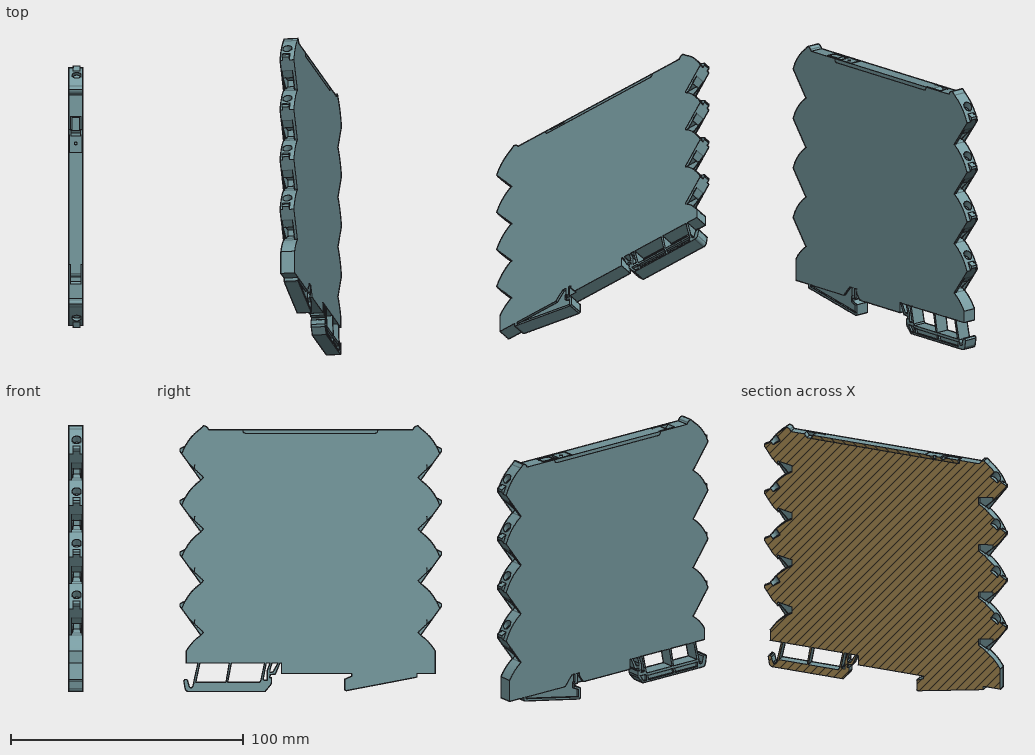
import cadquery as cq
import math


thickness = 6.1
left_face = -thickness / 2
total_width = 112.52
total_height = 114.32

top_z = 112.65
base_z = 7.8
rail_z = 12.3
rail_step_y = -12.65
base_half = 53.6

tiers = 4
tier_pitch = 22.2
notch_y = 47.3
notch_z = 90.9
tip_y = 55.45
tip_rise = 11.35
front_radius = 22.4
crest_y = 46.1
crest_foot_y = 47.5
lip_inner_y = 43.8
lip_wall_y = 44.3
lip_wall_z = 113.4

terminal_x = 0.4
screw_hole_d = 3.9
screw_hole_rise = 17.4
screw_hole_depth = 2.7
nose_width = 3.0
nose_y = total_width / 2
nose_rise = 13.5
nose_root_y = 53.4
nose_root_rise = 15.0
entry_width = 4.5
entry_top_rise = 7.4
entry_ledge = 1.2
entry_mouth_y = 50.0
entry_mouth_rise = 6.6
entry_mouth_drop = 1.3
entry_inner_y = 43.5
entry_inner_size = 2.8
entry_inner_rise = 4.1

foot_top_z = 4.1
foot_corner_round = 1.6
overlap_z = 12.8
rib_root_z = 3.9
foot_corner_y = -53.8
foot_recess_low_z = 0.8
foot_recess_high_z = 2.9
spring_foot_z = 4.8

cover_start_y = 28.8
cover_end_y = -29.2
cover_depth = 1.6
cover_bottom_z = top_z - cover_depth
cover_tip_round = 1.57
cover_round = 1.2
tongue_width = 3.3
tongue_y = 34.0
tongue_slot_width = 4.5
tongue_slot_y = 34.4
nose_strip_width = 4.5
nose_strip_y = -34.5
nose_slot_y = -37.6
nose_slot_slope = 1.2
grip_width = 3.9
grip_start_y = 28.5
grip_slope = 1.2
grip_end_y = 26.0
grip_depth = 0.8
ramp_width = 5.3
ramp_start_y = 26.6
ramp_end_y = 19.1
ramp_depth = 0.25
lamp_hole_d = 1.2
lamp_hole_y = 22.9

side_recess_depth = 1.0


def slab(points, width=thickness, x_middle=0.0):
    """Solid of a given width across X from a closed outline in the YZ plane."""
    start = x_middle - width / 2
    return cq.Workplane("YZ").workplane(offset=start).polyline(points).close().extrude(width)


def block(width, y_from, y_to, z_from, z_to):
    """Box centred on X = 0."""
    return slab([(y_from, z_from), (y_to, z_from), (y_to, z_to), (y_from, z_to)], width)


def mirrored(points, side):
    """Place points given as distance from Y = 0 on the +Y (1) or -Y (-1) side."""
    return [(side * y, z) for y, z in points]


underside_slope = tip_rise / (tip_y - notch_y)

chord_y = tip_y - notch_y
chord_z = tier_pitch - tip_rise
chord = math.hypot(chord_y, chord_z)
centre_reach = math.sqrt(front_radius**2 - (chord / 2) ** 2)
front_centre_y = (notch_y + tip_y) / 2 - centre_reach * chord_z / chord
front_centre_rise = (tier_pitch + tip_rise) / 2 - centre_reach * chord_y / chord


def front_rise(y):
    """Height of the curved tooth front above the notch below the tooth."""
    return front_centre_rise + math.sqrt(front_radius**2 - (y - front_centre_y) ** 2)


def tooth_front(outline, side, notch, y_from, y_to):
    """Add the arc of one tooth front to an outline."""
    y_mid = (y_from + y_to) / 2
    middle = (side * y_mid, notch + front_rise(y_mid))
    end = (side * y_to, notch + front_rise(y_to))
    return outline.threePointArc(middle, end)


lip_run = crest_y - lip_wall_y
lip_drop = total_height - lip_wall_z
lip_radius = (lip_run**2 + lip_drop**2) / (2 * lip_drop)
lip_half_angle = math.asin(lip_run / lip_radius) / 2
lip_round_y = crest_y - lip_radius * math.sin(lip_half_angle)
lip_round_z = total_height - lip_radius * (1 - math.cos(lip_half_angle))

tier_notches = [notch_z - tier * tier_pitch for tier in range(tiers)]
below_last_notch = notch_z - tiers * tier_pitch


def half_plate(side):
    """One half of the housing plate, from the middle plane to the toothed edge."""
    outline = cq.Workplane("YZ").workplane(offset=left_face).moveTo(0, top_z)
    outline = outline.lineTo(side * lip_inner_y, top_z).lineTo(side * lip_wall_y, lip_wall_z)
    outline = outline.threePointArc((side * lip_round_y, lip_round_z), (side * crest_y, total_height))
    outline = outline.lineTo(side * crest_foot_y, notch_z + front_rise(crest_foot_y))
    arc_start = crest_foot_y
    for notch in tier_notches:
        outline = tooth_front(outline, side, notch, arc_start, tip_y)
        outline = outline.lineTo(side * notch_y, notch)
        arc_start = notch_y
    outline = tooth_front(outline, side, below_last_notch, notch_y, base_half)
    return outline.lineTo(side * base_half, base_z).lineTo(0, base_z).close().extrude(thickness)


def terminal_nose(side, notch):
    """Small nose at a tooth tip, its lower face carrying on the tooth underside."""
    points = [
        (notch_y, notch + tip_rise),
        (nose_root_y, notch + nose_root_rise),
        (nose_y, notch + nose_rise),
        (nose_y, notch + (nose_y - notch_y) * underside_slope),
        (tip_y, notch + tip_rise),
    ]
    return slab(mirrored(points, side), nose_width, terminal_x)


def screw_hole(side, notch):
    """Blind round hole in the tooth front, running parallel to the tooth underside."""
    outward = cq.Vector(0, side * (tip_y - notch_y), tip_rise).normalized()
    y = front_centre_y + math.sqrt(front_radius**2 - (screw_hole_rise - front_centre_rise) ** 2)
    mouth = cq.Vector(terminal_x, side * y, notch + screw_hole_rise)
    start = mouth + outward * screw_hole_depth
    hole = cq.Solid.makeCylinder(screw_hole_d / 2, 2 * screw_hole_depth, start, outward * -1)
    return cq.Workplane(hole)


def wire_entry(side, notch):
    """Wire opening in the tooth underside, narrowing to a square hole."""
    ledge_points = [
        (notch_y + entry_top_rise / underside_slope, notch + entry_top_rise),
        (notch_y, notch),
        (notch_y - entry_ledge, notch + entry_ledge),
    ]
    ledge = slab(mirrored(ledge_points, side), entry_width, terminal_x)
    mouth_height = entry_mouth_rise + entry_mouth_drop
    mouth_mid = notch + (entry_mouth_rise - entry_mouth_drop) / 2
    inward = (0, -side, 0)
    mouth = cq.Plane((terminal_x, side * entry_mouth_y, mouth_mid), (1, 0, 0), inward)
    step = entry_mouth_y - entry_inner_y
    shift = (notch + entry_inner_rise - mouth_mid) * mouth.yDir.z
    funnel = (
        cq.Workplane(mouth)
        .rect(entry_width, mouth_height)
        .workplane(offset=step)
        .center(0, shift)
        .rect(entry_inner_size, entry_inner_size)
        .loft(ruled=True)
    )
    return ledge.union(funnel)


def latch():
    """Wedge-shaped latch hanging under the +Y half of the housing."""
    points = [
        (45.7, base_z), (45.7, 6.4), (45.1, 6.1), (15.3, 0.4), (14.6, 0.8), (14.6, 5.4),
        (17.6, 6.7), (17.6, base_z),
    ]
    return slab(points)


def latch_recess():
    """Shallow recess in the -X face, inside the latch and up into the housing."""
    points = [
        (44.4, base_z), (44.3, 7.0), (15.8, 1.5), (15.8, 4.9), (18.2, 6.0), (18.3, 8.2),
        (17.7, 8.8), (17.7, rail_z), (19.4, rail_z), (23.1, base_z),
    ]
    return slab(points, 2 * side_recess_depth, left_face)


def relief_recess():
    """Shallow recess beside the latch that frees its thin stem."""
    points = [(16.4, base_z), (16.4, rail_z), (15.2, rail_z), (15.2, 11.0), (12.9, base_z)]
    return slab(points, 2 * side_recess_depth, left_face)


def foot_rail():
    """Bottom bar of the foot with its upturned hook at the -Y end."""
    points = [
        (-16.8, 6.0), (-16.8, 4.0), (-17.2, 2.9), (-19.7, 0), (foot_corner_y, 0),
        (-54.6, 4.5), (-54.1, 5.3), (-53.4, 5.3), (-52.9, 4.8), (-52.2, 2.2),
        (-51.8, 1.7), (-51.2, 1.7), (-50.7, 2.4), (-50.2, foot_top_z), (-22.0, foot_top_z), (-21.0, 5.4),
        (-20.0, 5.0), (-18.2, 5.0), (-17.9, 6.0),
    ]
    corner = cq.NearestToPointSelector((0, foot_corner_y, 0))
    return slab(points).edges(corner).fillet(foot_corner_round)


def foot_ribs():
    """Slanted ribs that carry the foot rail under the housing."""
    rib_ends = [((-19.0, 0.8), (-20.7, 1.0)), ((-34.0, 1.0), (-35.7, 0.8)), ((-47.5, 0.9), (-49.4, 1.0))]
    ribs = []
    for (top_y, top_width), (foot_y, foot_width) in rib_ends:
        points = [
            (top_y, overlap_z), (top_y - top_width, overlap_z),
            (foot_y - foot_width, rib_root_z), (foot_y, rib_root_z),
        ]
        ribs.append(slab(points))
    return ribs


def foot_spring():
    """Two thin bent arms joined in a V at the +Y end of the foot."""
    outer_arm = [
        (-13.0, overlap_z), (-13.8, overlap_z), (-16.2, 8.6), (-17.5, 8.2), (-17.5, 7.3), (-15.2, 7.5),
    ]
    inner_arm = [
        (-16.5, overlap_z), (-17.3, overlap_z), (-18.8, 9.0), (-18.8, spring_foot_z),
        (-18.1, spring_foot_z), (-17.4, 7.0), (-17.5, 9.5),
    ]
    return [slab(outer_arm), slab(inner_arm)]


def foot_recesses():
    """Shallow recesses in the -X face of the foot rail."""
    low = foot_recess_low_z
    high = foot_recess_high_z
    outlines = [
        [(-18.2, 3.6), (-21.0, 3.6), (-21.7, 3.0), (-21.7, low), (-20.1, low)],
        [(-22.3, high), (-36.2, high), (-36.7, low), (-22.8, low)],
        [(-37.0, high), (-49.6, high), (-49.6, low), (-37.8, low)],
    ]
    return [slab(points, 2 * side_recess_depth, left_face) for points in outlines]


def cover_blank():
    """Full-width middle stretch of the cover with rounded lower ends."""
    blank = block(thickness, cover_end_y, cover_start_y, cover_bottom_z, top_z)
    return blank.edges("<Z and |X").fillet(cover_round)


def cover_tongue():
    """Narrow tongue at the +Y end, lying in a wider slot."""
    return block(tongue_width, cover_start_y - cover_round, tongue_y, cover_bottom_z, top_z)


def cover_nose():
    """End piece whose tip is rounded down to the slot floor."""
    nose = block(nose_strip_width, nose_strip_y, cover_end_y + cover_round, cover_bottom_z, top_z)
    return nose.edges(">Z and <Y").fillet(cover_tip_round)


def finger_grip():
    """Pit in the cover with one sloped wall at its +Y side."""
    floor_z = top_z - grip_depth
    points = [
        (grip_start_y, top_z), (grip_start_y - grip_slope, floor_z),
        (grip_end_y, floor_z), (grip_end_y, top_z),
    ]
    return slab(points, grip_width)


def label_ramp():
    """Shallow ramp sunk into the cover, deepest at its -Y end."""
    return slab([(ramp_start_y, top_z), (ramp_end_y, top_z - ramp_depth), (ramp_end_y, top_z)], ramp_width)


def lamp_hole():
    """Round hole through the cover."""
    base = cq.Workplane("XY", origin=(0, lamp_hole_y, cover_bottom_z))
    return base.circle(lamp_hole_d / 2).extrude(cover_depth)


cover = cover_blank().union(cover_tongue()).union(cover_nose())
cover = cover.cut(finger_grip()).cut(label_ramp()).cut(lamp_hole())


def cover_seat():
    """Room for the cover: its own bed plus the wider slots around both ends."""
    tongue_slot = block(tongue_slot_width, cover_start_y - cover_round, tongue_slot_y, cover_bottom_z, top_z)
    nose_points = [
        (cover_end_y + cover_round, top_z), (cover_end_y + cover_round, cover_bottom_z),
        (nose_slot_y + nose_slot_slope, cover_bottom_z), (nose_slot_y, top_z),
    ]
    return cover_blank().union(tongue_slot).union(slab(nose_points, nose_strip_width))


housing = half_plate(1).union(half_plate(-1))
housing = housing.cut(block(thickness, -base_half, rail_step_y, base_z, rail_z))
for side in (1, -1):
    for notch in tier_notches:
        housing = housing.union(terminal_nose(side, notch))
        housing = housing.cut(screw_hole(side, notch)).cut(wire_entry(side, notch))
housing = housing.union(latch()).cut(latch_recess()).cut(relief_recess())
housing = housing.union(foot_rail())
for strut in foot_ribs() + foot_spring():
    housing = housing.union(strut)
for recess in foot_recesses():
    housing = housing.cut(recess)
housing = housing.cut(cover_seat())

result = cq.Compound.makeCompound([housing.val(), cover.val()])